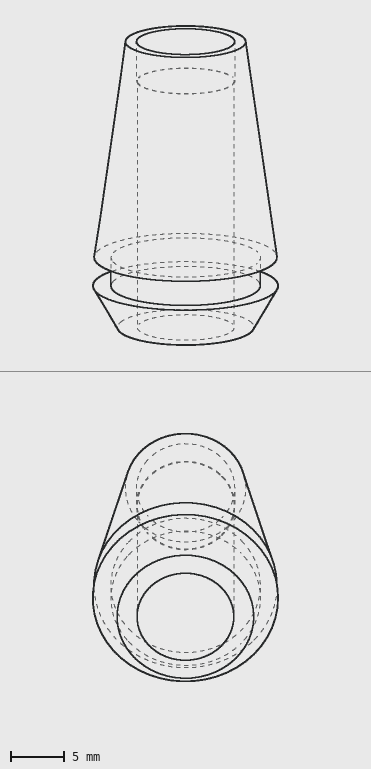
import cadquery as cq

total_height = 27.5
nose_height = 4.0
groove_width = 2.75
body_bottom = nose_height + groove_width

nose_bottom_diameter = 12.7
nose_top_diameter = 17.25
groove_diameter = 13.9
body_bottom_diameter = 17.02
body_top_diameter = 11.2

bore_diameter = 9.0
upper_bore_diameter = 9.13
upper_bore_depth = 3.77
bore_step_height = total_height - upper_bore_depth


def make_sleeve():
    """Hollow tapered sleeve with a groove above its flared nose."""
    outer_profile = [
        (nose_bottom_diameter / 2, 0),
        (nose_top_diameter / 2, nose_height),
        (groove_diameter / 2, nose_height),
        (groove_diameter / 2, body_bottom),
        (body_bottom_diameter / 2, body_bottom),
        (body_top_diameter / 2, total_height),
    ]
    bore_profile = [
        (upper_bore_diameter / 2, total_height),
        (upper_bore_diameter / 2, bore_step_height),
        (bore_diameter / 2, bore_step_height),
        (bore_diameter / 2, 0),
    ]
    half_section = cq.Workplane("YZ").polyline(outer_profile + bore_profile).close()
    return half_section.revolve(360, (0, 0), (0, 1))


result = make_sleeve()